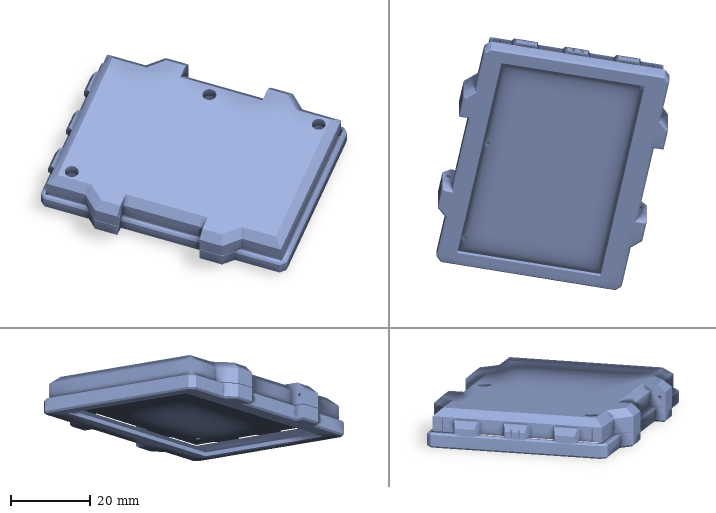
import cadquery as cq
import math

overall_length = 66.3
overall_width = 52.45
total_height = 9.75
rim_top = 3.85
joint_gap = 0.1
lid_bottom = rim_top + joint_gap

base_length = 65.85
base_width = 47.5
corner_cut = 1.4
edge_chamfer = 0.45
rim_wall = 1.2
floor_thickness = 1.0
window_length = 58.35
window_front = -17.85
window_back = 18.9

lid_length = 62.65
lid_width = 44.55
bevel_run = 2.1
bevel_drop = 1.9

lug_reach = overall_width / 2
lug_inner_x = 11.0
lug_outer_x = 17.05
lug_hole_diameter = 0.9
lug_hole_depth = 2.0
lug_hole_inset = 1.45
lug_hole_z = 6.4

screw_points = [(-26.25, -17.9), (-2.2, 17.4), (27.0, 17.7)]
screw_head_diameter = 3.5
screw_hole_diameter = 1.5
screw_bore_depth = 2.65
screw_cone_depth = 1.0

strip_length = 39.0
strip_thickness = 2.0
strip_top = 7.35
strip_end_gap = 0.25
lid_face_x = -lid_length / 2
button_tip_x = base_length / 2 - overall_length
button_pitch = 13.1
button_shift = 0.1
button_root_width = 7.1
button_tip_width = 5.25
button_top_x = -32.35
button_slope_z = 5.5
groove_spacing = 2.1
groove_diameter = 0.8


def block(x_min, x_max, y_min, y_max, z_min, z_max):
    """Box given by its limits along each axis."""
    size = (x_max - x_min, y_max - y_min, z_max - z_min)
    return cq.Workplane("XY").box(*size, centered=False).translate((x_min, y_min, z_min))


def lug_band_outline(bottom):
    """Band that reaches all four lugs; its 45 degree flanks run on in under the lid's bevel."""
    foot_y = lid_width / 2 - 2 * bevel_run
    foot_x = lug_outer_x + lug_reach - foot_y
    quarter = [(foot_x, foot_y), (lug_outer_x, lug_reach)]
    points = quarter + [(-x, y) for x, y in reversed(quarter)]
    points += [(-x, -y) for x, y in points]
    return cq.Workplane("XY").workplane(offset=bottom).polyline(points).close()


def between_lugs(bottom, top):
    """The space that separates the lugs along X."""
    return block(-lug_inner_x, lug_inner_x, -lug_reach, lug_reach, bottom, top)


def make_base():
    tray = cq.Workplane("XY").rect(base_length, base_width).extrude(rim_top)
    tray = tray.edges("|Z").chamfer(corner_cut)
    tray = tray.faces(">Z").edges().chamfer(edge_chamfer)
    lugs = lug_band_outline(0).extrude(rim_top).cut(between_lugs(0, rim_top))
    base = tray.union(lugs).faces("<Z").edges().chamfer(edge_chamfer)
    pocket = (
        cq.Workplane("XY")
        .workplane(offset=floor_thickness)
        .rect(base_length - 2 * rim_wall, base_width - 2 * rim_wall)
        .extrude(rim_top - floor_thickness)
    )
    half_window = window_length / 2
    window = block(-half_window, half_window, window_front, window_back, 0, floor_thickness)
    return base.cut(pocket).cut(window)


def bevelled_prism(outline):
    """Prism from the lid's underside to its top, with a bevel round the top."""
    bevel_start = total_height - bevel_drop
    bevel_angle = math.degrees(math.atan2(bevel_run, bevel_drop))
    lower = outline(lid_bottom).extrude(bevel_start - lid_bottom)
    return lower.union(outline(bevel_start).extrude(bevel_drop, taper=bevel_angle))


def lid_outline(bottom):
    return cq.Workplane("XY").workplane(offset=bottom).rect(lid_length, lid_width)


def screw_cutter(x, y):
    """Through hole with a bore and a conical seat for the screw head."""
    hole = (
        cq.Workplane("XY")
        .workplane(offset=lid_bottom)
        .circle(screw_hole_diameter / 2)
        .extrude(total_height - lid_bottom)
    )
    bore_floor = total_height - screw_bore_depth
    bore = (
        cq.Workplane("XY")
        .workplane(offset=bore_floor)
        .circle(screw_head_diameter / 2)
        .extrude(screw_bore_depth)
    )
    seat = cq.Solid.makeCone(
        screw_hole_diameter / 2,
        screw_head_diameter / 2,
        screw_cone_depth,
        pnt=cq.Vector(0, 0, bore_floor - screw_cone_depth),
    )
    return hole.union(bore).union(cq.Workplane(seat)).translate((x, y, 0))


def lug_hole_cutter(side_x, side_y):
    """Blind hole that enters a lug from its inner face."""
    start = cq.Vector(side_x * lug_inner_x, side_y * (lug_reach - lug_hole_inset), lug_hole_z)
    return cq.Workplane(
        cq.Solid.makeCylinder(lug_hole_diameter / 2, lug_hole_depth, start, cq.Vector(side_x, 0, 0))
    )


def make_lid():
    lugs = bevelled_prism(lug_band_outline).cut(between_lugs(lid_bottom, total_height))
    lid = bevelled_prism(lid_outline).union(lugs)
    half_slot = strip_length / 2 + strip_end_gap
    slot_back = lid_face_x + strip_thickness
    lid = lid.cut(block(lid_face_x, slot_back, -half_slot, half_slot, lid_bottom, strip_top))
    for x, y in screw_points:
        lid = lid.cut(screw_cutter(x, y))
    for side_x in (-1, 1):
        for side_y in (-1, 1):
            lid = lid.cut(lug_hole_cutter(side_x, side_y))
    return lid


def make_button():
    """Button centred on Y = 0, tapered towards its tip, with a sloped upper front."""
    plan = [
        (lid_face_x, -button_root_width / 2),
        (lid_face_x, button_root_width / 2),
        (button_tip_x, button_tip_width / 2),
        (button_tip_x, -button_tip_width / 2),
    ]
    side = [
        (lid_face_x, lid_bottom),
        (lid_face_x, strip_top),
        (button_top_x, strip_top),
        (button_tip_x, button_slope_z),
        (button_tip_x, lid_bottom),
    ]
    tapered = cq.Workplane("XY").polyline(plan).close().extrude(total_height)
    profile = cq.Workplane("XZ").polyline(side).close().extrude(button_root_width / 2, both=True)
    return tapered.intersect(profile)


def groove_cutter(y):
    """Upright half-round groove in a button's tip."""
    return cq.Workplane("XY").center(button_tip_x, y).circle(groove_diameter / 2).extrude(total_height)


def make_button_strip():
    half_strip = strip_length / 2
    strip_back = lid_face_x + strip_thickness
    strip = block(lid_face_x, strip_back, -half_strip, half_strip, lid_bottom, strip_top)
    for position in (-1, 0, 1):
        strip = strip.union(make_button().translate((0, button_shift + position * button_pitch, 0)))
    for side in (-1, 1):
        strip = strip.cut(groove_cutter(button_shift + side * groove_spacing / 2))
    return strip


base = make_base()
lid = make_lid()
button_strip = make_button_strip()

result = cq.Compound.makeCompound([body.solids().val() for body in (base, lid, button_strip)])